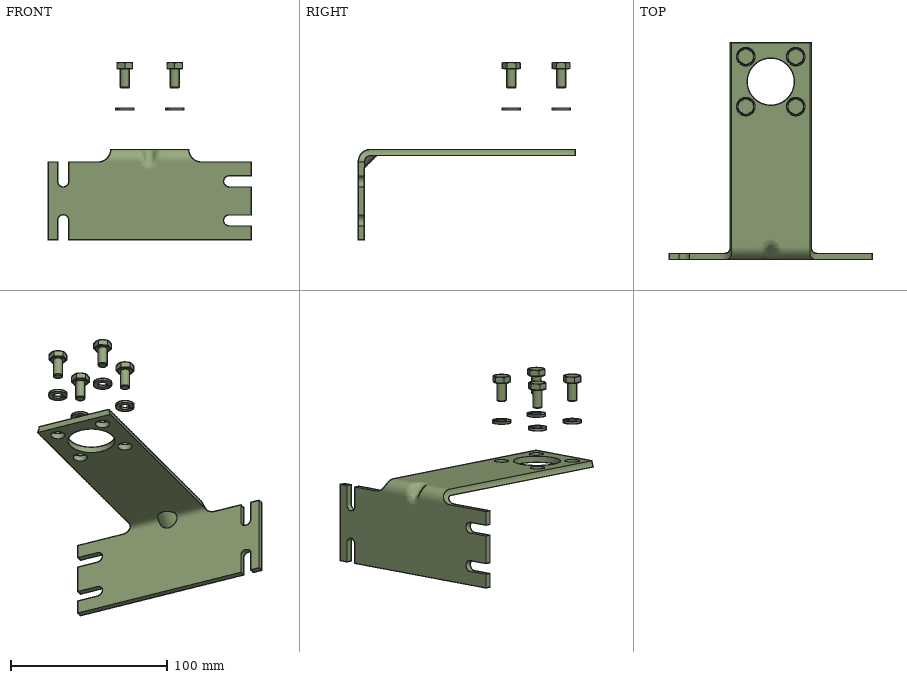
import cadquery as cq
import math

overall_length = 139.0
overall_height = 113.5

plate_width = 130.0
bracket_height = 58.0
thickness = 4.0
bend_outer_radius = 8.0
bend_inner_radius = bend_outer_radius - thickness
plate_height = bracket_height - bend_outer_radius
arm_width = 50.0
neck_radius = bend_outer_radius

slot_width = 7.0
side_slot_offset = 9.6
side_slot_depth = 16.0
end_slot_depth = 17.7
end_slot_spacing = 25.0

dent_radius = 3.6
dent_reach = 10.5
dent_blend_radius = 5.0
dent_wall = 3.8
ridge_radius = dent_radius + dent_wall

centre_hole_diameter = 30.0
centre_hole_from_end = 25.0
bolt_spacing = 32.0
bolt_hole_diameter = 9.0

bolt_diameter = 6.0
bolt_length = 12.1
bolt_tip_chamfer = 0.5
head_height = 4.3
head_across_flats = 10.0
washer_face_diameter = 9.5
washer_face_height = 0.4
head_chamfer_angle = 30.0

washer_outer_diameter = 11.8
washer_inner_diameter = 6.1
washer_thickness = 1.5
washer_gap = 1.3
washer_gap_angle = 225.0
washer_lift = 25.0

pattern_y = overall_length - centre_hole_from_end
half_spacing = bolt_spacing / 2
bolt_points = [
    (x, pattern_y + y)
    for x in (-half_spacing, half_spacing)
    for y in (-half_spacing, half_spacing)
]
washer_base = bracket_height + washer_lift
head_base = overall_height - head_height


def bent_strip():
    """L-shaped strip as wide as the plate, rounded at the bend."""
    arm_underside = bracket_height - thickness
    profile = (
        cq.Workplane("YZ")
        .moveTo(0, 0)
        .lineTo(0, plate_height)
        .radiusArc((bend_outer_radius, bracket_height), bend_outer_radius)
        .lineTo(overall_length, bracket_height)
        .lineTo(overall_length, arm_underside)
        .lineTo(bend_outer_radius, arm_underside)
        .radiusArc((thickness, plate_height), -bend_inner_radius)
        .lineTo(thickness, 0)
        .close()
    )
    return profile.extrude(plate_width / 2, both=True)


def front_outline():
    """Prism along Y that narrows the strip to the arm through two concave arcs."""
    half_plate = plate_width / 2
    half_arm = arm_width / 2
    neck_end = half_arm + neck_radius
    return (
        cq.Workplane("XZ")
        .moveTo(-half_plate, 0)
        .lineTo(-half_plate, plate_height)
        .lineTo(-neck_end, plate_height)
        .radiusArc((-half_arm, bracket_height), -neck_radius)
        .lineTo(half_arm, bracket_height)
        .radiusArc((neck_end, plate_height), -neck_radius)
        .lineTo(half_plate, plate_height)
        .lineTo(half_plate, 0)
        .close()
        .extrude(-overall_length)
    )


def dent_rod(radius):
    """Rod on the dent's axis, which runs down and forward at 45 degrees."""
    axis_drop = dent_radius * math.sqrt(2)
    rod_height = 2 * bracket_height
    start_y = dent_reach - axis_drop + rod_height - bracket_height
    start = cq.Vector(0, start_y, rod_height)
    direction = cq.Vector(0, -1, -1)
    rod_length = 2 * rod_height
    return cq.Workplane(cq.Solid.makeCylinder(radius, rod_length, start, direction))


def corner_block():
    """Block filling the corner behind the bend, bounded by the plate and the arm."""
    size = bracket_height - thickness
    return (
        cq.Workplane("YZ", origin=(0, thickness, 0))
        .rect(size, size, centered=False)
        .extrude(arm_width / 2, both=True)
    )


def add_dent(bracket):
    """Press the blended dent into the bend and raise the matching ridge behind it."""
    ridge = dent_rod(ridge_radius).intersect(corner_block())
    dented = bracket.union(ridge).cut(dent_rod(dent_radius))
    rim_on_arm = cq.selectors.NearestToPointSelector((0, dent_reach, bracket_height))
    return dented.edges(rim_on_arm).fillet(dent_blend_radius)


def cut_slots(bracket):
    """Two vertical slots near the left edge and two horizontal slots at the right."""
    half_plate = plate_width / 2
    cut_depth = 2 * thickness
    for end_z in (0, plate_height):
        slot = (
            cq.Workplane("XZ", origin=(side_slot_offset - half_plate, thickness, end_z))
            .slot2D(2 * side_slot_depth, slot_width, 90)
            .extrude(cut_depth)
        )
        bracket = bracket.cut(slot)
    end_slots = (
        cq.Workplane("XZ", origin=(half_plate, thickness, plate_height / 2))
        .rarray(1.4, end_slot_spacing, 1, 2)
        .slot2D(2 * end_slot_depth, slot_width)
        .extrude(cut_depth)
    )
    return bracket.cut(end_slots)


def drill_flange(bracket):
    """Large centre hole surrounded by four bolt holes, through the arm."""
    holes = (
        cq.Workplane("XY", origin=(0, 0, bracket_height))
        .pushPoints([(0, pattern_y)])
        .circle(centre_hole_diameter / 2)
        .pushPoints(bolt_points)
        .circle(bolt_hole_diameter / 2)
        .extrude(-2 * thickness)
    )
    return bracket.cut(holes)


def make_bracket():
    """Bent bracket with its dent, slots and flange holes."""
    bracket = bent_strip().intersect(front_outline())
    bracket = add_dent(bracket)
    bracket = cut_slots(bracket)
    return drill_flange(bracket)


def bolt_head():
    """Hexagon with two flats facing +X and -X and its top corners turned to a cone."""
    corner_angle = 30
    corner_radius = head_across_flats / math.sqrt(3)
    flat_radius = head_across_flats / 2
    chamfer_drop = (corner_radius - flat_radius) * math.tan(math.radians(head_chamfer_angle))
    hexagon = (
        cq.Workplane("XY", origin=(0, 0, washer_face_height))
        .polygon(6, 2 * corner_radius)
        .extrude(head_height - washer_face_height)
        .rotate((0, 0, 0), (0, 0, 1), corner_angle)
    )
    turned_blank = (
        cq.Workplane("XZ")
        .lineTo(corner_radius, 0)
        .lineTo(corner_radius, head_height - chamfer_drop)
        .lineTo(flat_radius, head_height)
        .lineTo(0, head_height)
        .close()
        .revolve(360, (0, 0, 0), (0, 1, 0))
    )
    return hexagon.intersect(turned_blank)


def make_bolt(x, y):
    """Hexagon bolt, tip down, with a washer face under its head."""
    washer_face = cq.Workplane("XY").circle(washer_face_diameter / 2).extrude(washer_face_height)
    shank = (
        cq.Workplane("XY")
        .circle(bolt_diameter / 2)
        .extrude(-bolt_length)
        .faces("<Z")
        .chamfer(bolt_tip_chamfer)
    )
    bolt = bolt_head().union(washer_face).union(shank)
    return bolt.translate((x, y, head_base))


def make_washer(x, y):
    """Flat ring split by one radial gap."""
    ring = (
        cq.Workplane("XY")
        .circle(washer_outer_diameter / 2)
        .circle(washer_inner_diameter / 2)
        .extrude(washer_thickness)
    )
    gap = (
        cq.Workplane("XY")
        .rect(washer_outer_diameter, washer_gap)
        .extrude(washer_thickness)
        .translate((washer_outer_diameter / 2, 0, 0))
        .rotate((0, 0, 0), (0, 0, 1), washer_gap_angle)
    )
    return ring.cut(gap).translate((x, y, washer_base))


bracket = make_bracket()
bolts = [make_bolt(x, y) for x, y in bolt_points]
washers = [make_washer(x, y) for x, y in bolt_points]

result = cq.Compound.makeCompound(
    [bracket.solids().val()]
    + [bolt.solids().val() for bolt in bolts]
    + [washer.solids().val() for washer in washers]
)